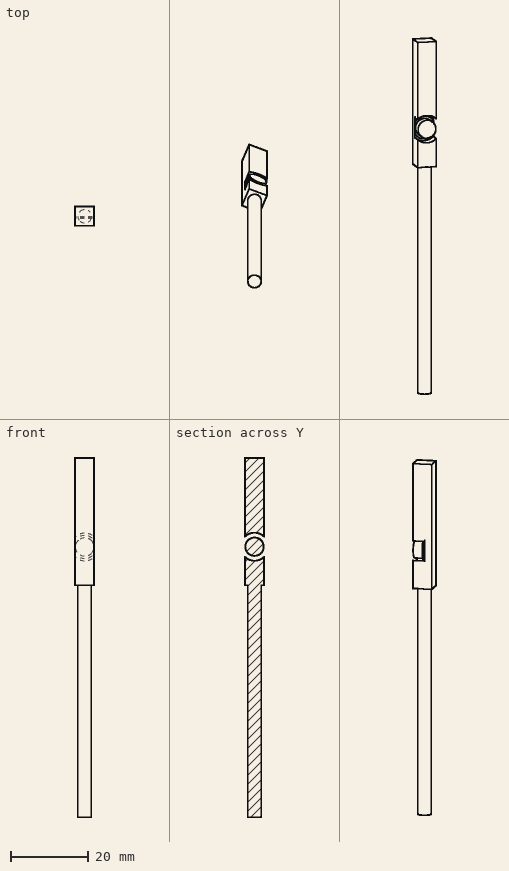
import cadquery as cq

head_width = 5.0
head_height = 33.0
side_face_y = head_width / 2

stem_diameter = 3.5
stem_length = 60.0

recess_diameter = 7.2
recess_depth = 3.1
recess_center_z = 10.0

button_diameter = 4.8

flange_diameter = 6.0
flange_thickness = 0.3
flange_top_depth = 2.5


def make_head():
    return cq.Workplane("XY").box(head_width, head_width, head_height, centered=(True, True, False))


def make_stem():
    return cq.Workplane("XY").circle(stem_diameter / 2).extrude(-stem_length)


def make_disc(diameter, top_depth, thickness):
    """Disc on the recess axis, starting top_depth below the +Y side and growing inward."""
    return (
        cq.Workplane("XZ", origin=(0, side_face_y - top_depth, recess_center_z))
        .circle(diameter / 2)
        .extrude(thickness)
    )


def make_button():
    shaft = make_disc(button_diameter, 0, recess_depth)
    flange = make_disc(flange_diameter, flange_top_depth, flange_thickness)
    return shaft.union(flange.intersect(make_head()))


recess = make_disc(recess_diameter, 0, recess_depth)
result = make_head().union(make_stem()).cut(recess).union(make_button())